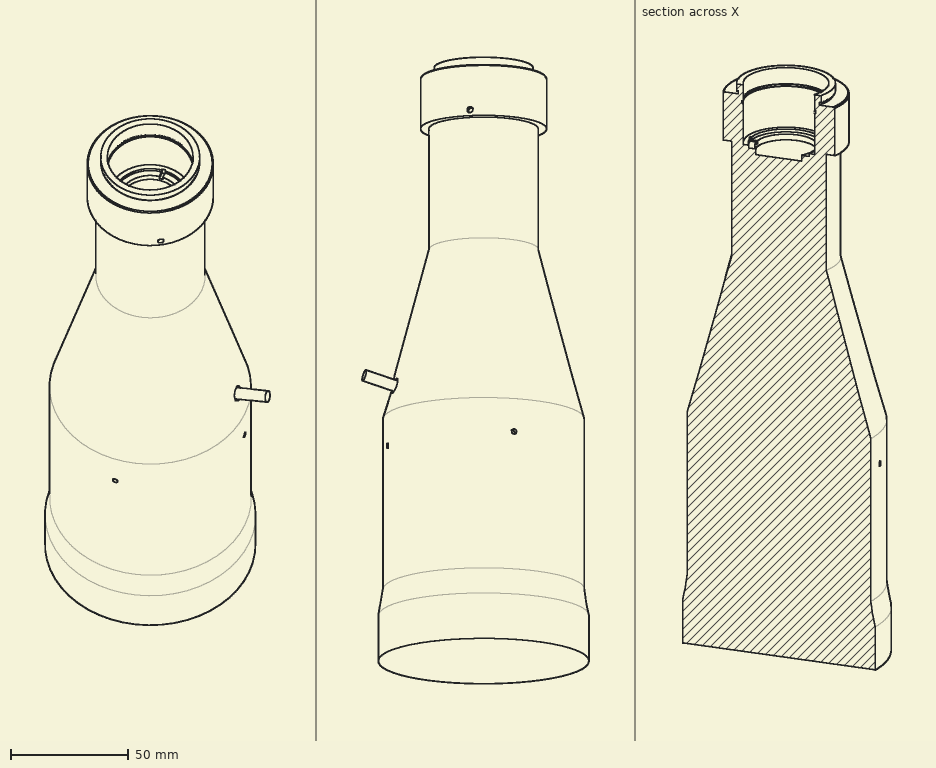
import cadquery as cq
import math

total_height = 259.0
base_top = 20.0
flare_top = 31.3
band_top = 105.7
cone_top = 179.7
cap_bottom = 232.3
cap_top = 254.5

total_width = 99.0

base_diameter = 90.0
body_diameter = 86.0
neck_diameter = 46.5
cap_diameter = 54.0
nose_diameter = 42.2
cap_chamfer = 0.5
undercut_diameter = 41.0
undercut_height = 1.0

bore_diameter = 36.5
bore_depth = 27.2
groove_diameter = 37.5
groove_depth = 7.5
groove_height = 1.0
seat_diameter = 32.0
seat_depth = 1.3
ring_diameter = 26.7
ring_thickness = 2.5
slot_width = 1.5
slot_length = 33.2
slot_depth = 1.3

pin_diameter = 5.0
pin_hole_diameter = 6.5
pin_hole_depth = 2.5
pin_root_height = 117.5
pin_reach = total_width - base_diameter / 2

cap_hole_diameter = 2.5
cap_hole_height = 235.0
cap_hole_angles = (60, 180, 300)
band_hole_diameter = 2.2
band_hole_height = 91.2
band_hole_angles = (0, 90, 180, 270)
hole_depth = 2.5


def cylinder_down(diameter, top, depth):
    """Vertical cylinder on the main axis, hanging down from the given height."""
    return cq.Workplane("XY").workplane(offset=top - depth).circle(diameter / 2).extrude(depth)


def outer_body():
    """Turned outside shape, from the base up to the nose."""
    base_radius = base_diameter / 2
    body_radius = body_diameter / 2
    neck_radius = neck_diameter / 2
    cap_radius = cap_diameter / 2
    nose_radius = nose_diameter / 2
    undercut_radius = undercut_diameter / 2
    half_section = [
        (0, 0),
        (base_radius, 0),
        (base_radius, base_top),
        (body_radius, flare_top),
        (body_radius, band_top),
        (neck_radius, cone_top),
        (neck_radius, cap_bottom),
        (cap_radius, cap_bottom),
        (cap_radius, cap_top - cap_chamfer),
        (cap_radius - cap_chamfer, cap_top),
        (undercut_radius, cap_top),
        (undercut_radius, cap_top + undercut_height),
        (nose_radius, cap_top + undercut_height),
        (nose_radius, total_height),
        (0, total_height),
    ]
    return cq.Workplane("XZ").polyline(half_section).close().revolve(360, (0, 0, 0), (0, 1, 0))


def bore():
    """Stepped blind bore, with the two slots in line across the ring."""
    seat_top = total_height - bore_depth
    ring_top = seat_top - seat_depth
    main = cylinder_down(bore_diameter, total_height, bore_depth)
    groove = cylinder_down(groove_diameter, total_height - groove_depth, groove_height)
    seat = cylinder_down(seat_diameter, seat_top, seat_depth)
    opening = cylinder_down(ring_diameter, ring_top, ring_thickness)
    slots = (
        cq.Workplane("XY")
        .workplane(offset=ring_top - slot_depth)
        .rect(slot_width, slot_length)
        .extrude(seat_depth + slot_depth)
    )
    return main.union(groove).union(seat).union(opening).union(slots)


def radial_holes(diameter, height, outer_diameter, angles):
    """Blind holes drilled toward the main axis at the given angles."""
    drills = cq.Workplane("XY")
    for angle in angles:
        direction = cq.Vector(math.cos(math.radians(angle)), math.sin(math.radians(angle)), 0)
        start = direction * (outer_diameter / 2 - hole_depth) + cq.Vector(0, 0, height)
        drills = drills.add(cq.Solid.makeCylinder(diameter / 2, 2 * hole_depth, start, direction))
    return drills.combine()


def add_side_pin(body):
    """Cut the clearance hole in the cone and stand the pin in it."""
    slope = (body_diameter - neck_diameter) / 2 / (cone_top - band_top)
    tilt = math.atan(slope)
    direction = cq.Vector(math.cos(tilt), 0, math.sin(tilt))
    root_radius = body_diameter / 2 - slope * (pin_root_height - band_top)
    root = cq.Vector(root_radius, 0, pin_root_height)
    floor = root - direction * pin_hole_depth
    end_center_reach = pin_reach - pin_diameter / 2 * math.sin(tilt)
    pin_length = (end_center_reach - floor.x) / math.cos(tilt)
    clearance = cq.Solid.makeCylinder(pin_hole_diameter / 2, 2 * pin_hole_depth, floor, direction)
    pin = cq.Solid.makeCylinder(pin_diameter / 2, pin_length, floor, direction)
    return body.cut(cq.Workplane(clearance)).union(cq.Workplane(pin))


result = outer_body().cut(bore())
result = result.cut(radial_holes(cap_hole_diameter, cap_hole_height, cap_diameter, cap_hole_angles))
result = result.cut(radial_holes(band_hole_diameter, band_hole_height, body_diameter, band_hole_angles))
result = add_side_pin(result)